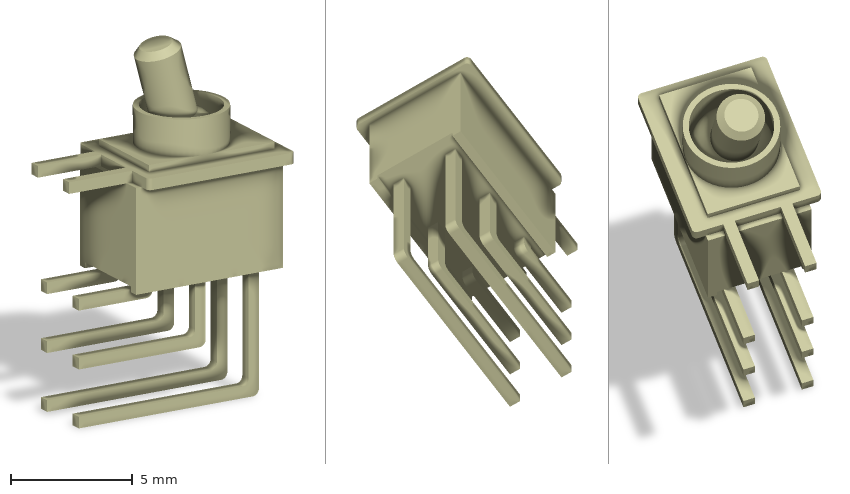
import cadquery as cq


block_width = 4.5
block_length = 7.0
block_height = 4.6
foot_width = 0.4
channel_depth = 0.25

bracket_width = 5.6
bracket_length = 7.0
bracket_thickness = 0.5
bracket_offset = 0.25
bracket_corner_radius = 0.2
tail_width = 0.5
tail_pitch = 2.5
tail_length = 3.0

pad_width = 4.0
pad_length = 6.0
pad_rise = 0.3
bushing_radius = 2.0
bushing_height = 1.6

ball_radius = 1.75
handle_radius = 1.0
handle_length = 4.73
handle_tip_chamfer = 0.3
lever_tilt = 15.0

pin_size = 0.5
pin_pitch = 2.54
pin_rows = 3
pin_end_y = -5.8
pin_outer_radius = 0.3
pin_inner_radius = 0.3

bracket_top = block_height + bracket_thickness
pad_top = bracket_top + pad_rise
bushing_top = pad_top + bushing_height
pivot_height = bushing_top - ball_radius
bracket_front_y = bracket_offset - bracket_length / 2


def box_on(z, width, length, height, y=0.0):
    """Box centred on X = 0 and the given y, standing on level z."""
    return cq.Workplane("XY", origin=(0, y, z)).rect(width, length).extrude(height)


def make_ball():
    return cq.Workplane("XY", origin=(0, 0, pivot_height)).sphere(ball_radius)


def make_housing():
    block = box_on(0, block_width, block_length, block_height)
    channel = box_on(0, block_width - 2 * foot_width, block_length, channel_depth)
    pad = box_on(block_height, pad_width, pad_length, pad_top - block_height, bracket_offset)
    bushing = cq.Workplane("XY", origin=(0, 0, pad_top)).circle(bushing_radius).extrude(bushing_height)
    bore = (
        cq.Workplane("XY", origin=(0, 0, pivot_height))
        .circle(ball_radius)
        .extrude(bushing_top - pivot_height)
    )
    return block.cut(channel).union(pad).union(bushing).cut(bore).cut(make_ball())


def make_bracket():
    plate = box_on(block_height, bracket_width, bracket_length, bracket_thickness, bracket_offset)
    plate = plate.edges("|Z").fillet(bracket_corner_radius)
    window = box_on(block_height, pad_width, pad_length, bracket_thickness, bracket_offset)
    bracket = plate.cut(window)
    tail = box_on(
        block_height, tail_width, tail_length, bracket_thickness, bracket_front_y - tail_length / 2
    )
    for side in (-1, 1):
        bracket = bracket.union(tail.translate((side * tail_pitch / 2, 0, 0)))
    return bracket


def make_lever():
    handle = (
        cq.Workplane("XY", origin=(0, 0, pivot_height))
        .circle(handle_radius)
        .extrude(handle_length)
        .faces(">Z")
        .edges()
        .chamfer(handle_tip_chamfer)
    )
    pivot = (0, 0, pivot_height)
    pivot_axis_end = (1, 0, pivot_height)
    return make_ball().union(handle.rotate(pivot, pivot_axis_end, lever_tilt))


def make_pin(x, row):
    """Pin of one row; row 0 is nearest the -Y side and each later row hangs one pitch lower."""
    back_y = (row - (pin_rows - 1) / 2) * pin_pitch + pin_size / 2
    front_y = back_y - pin_size
    leg_top = -row * pin_pitch
    leg_bottom = leg_top - pin_size
    outline = (
        cq.Workplane("YZ", origin=(x - pin_size / 2, 0, 0))
        .moveTo(back_y, channel_depth)
        .lineTo(back_y, leg_bottom)
        .lineTo(pin_end_y, leg_bottom)
        .lineTo(pin_end_y, leg_top)
        .lineTo(front_y, leg_top)
        .lineTo(front_y, channel_depth)
        .close()
    )
    pin = outline.extrude(pin_size)
    pin = pin.edges("|X and >Y and <Z").fillet(pin_outer_radius)
    if row > 0:
        inner_corner = cq.selectors.NearestToPointSelector((x, front_y, leg_top))
        pin = pin.edges("|X").edges(inner_corner).fillet(pin_inner_radius)
    return pin


housing = make_housing()
bracket = make_bracket()
lever = make_lever()
pins = [make_pin(side * pin_pitch / 2, row) for side in (-1, 1) for row in range(pin_rows)]

result = cq.Compound.makeCompound(
    [housing.val(), bracket.val(), lever.val(), *[pin.val() for pin in pins]]
)